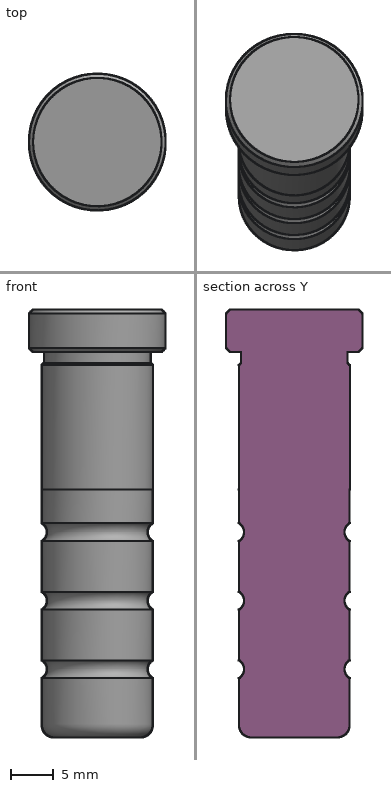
import cadquery as cq
import math

length = 50.0
head_radius = 8.0
head_height = 5.0
head_chamfer = 0.5

neck_radius = 6.25
undercut_length = 1.5

upper_radius = 6.515
lower_radius = 6.5
upper_end_depth = 21.0
tip_radius = 1.5

groove_count = 3
groove_pitch = 8.0
groove_section_radius = 1.2
groove_depth = 0.6
first_groove_depth = 26.0


def make_pin():
    """Plain pin: half outline on the -X side, revolved about Z."""
    head_bottom = length - head_height
    undercut_bottom = head_bottom - undercut_length
    flare = upper_radius - neck_radius
    upper_end = length - upper_end_depth
    tip_centre_radius = lower_radius - tip_radius
    tip_middle = tip_radius * math.sqrt(0.5)

    return (
        cq.Workplane("XZ")
        .moveTo(0, length)
        .lineTo(-(head_radius - head_chamfer), length)
        .lineTo(-head_radius, length - head_chamfer)
        .lineTo(-head_radius, head_bottom + head_chamfer)
        .lineTo(-(head_radius - head_chamfer), head_bottom)
        .lineTo(-neck_radius, head_bottom)
        .lineTo(-neck_radius, undercut_bottom + flare)
        .lineTo(-upper_radius, undercut_bottom)
        .lineTo(-upper_radius, upper_end)
        .lineTo(-lower_radius, upper_end)
        .lineTo(-lower_radius, tip_radius)
        .threePointArc(
            (-(tip_centre_radius + tip_middle), tip_radius - tip_middle),
            (-tip_centre_radius, 0),
        )
        .lineTo(0, 0)
        .close()
        .revolve(360, (0, 0, 0), (0, 1, 0))
    )


def make_groove(middle):
    """Ring cutter of circular section, centred just outside the shank."""
    centre_radius = lower_radius - groove_depth + groove_section_radius
    return (
        cq.Workplane("XZ")
        .center(-centre_radius, middle)
        .circle(groove_section_radius)
        .revolve(360, (centre_radius, 0, 0), (centre_radius, 1, 0))
    )


result = make_pin()
for index in range(groove_count):
    groove_middle = length - first_groove_depth - index * groove_pitch
    result = result.cut(make_groove(groove_middle))